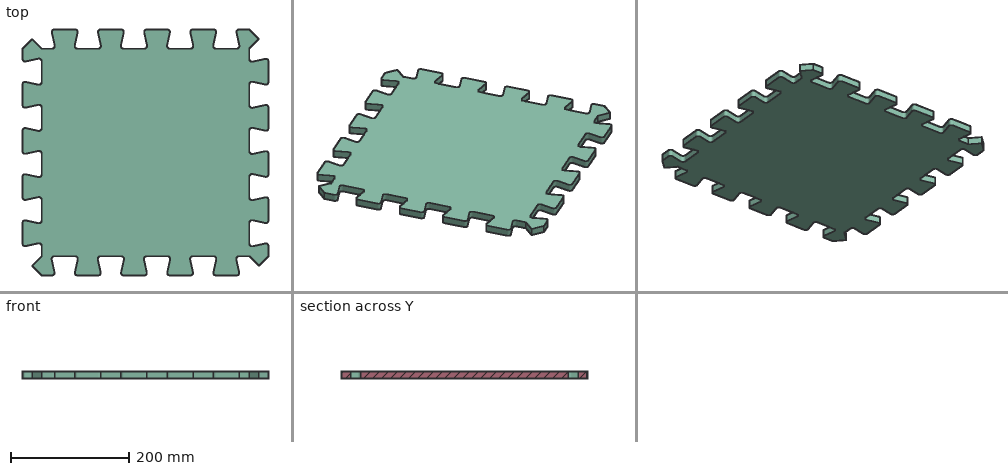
import cadquery as cq
import math

overall_size = 416.7
thickness = 12.5
tab_depth = 32.5
flank_angle = 12.5
corner_radius = 4.5
full_tabs = 4
side_count = 4

half_size = overall_size / 2
half_body = half_size - tab_depth
pitch = 2 * half_body / (full_tabs + 0.5)

flank_shift = tab_depth / 2 * math.tan(math.radians(flank_angle))
tip_half_width = pitch / 4 + flank_shift
root_half_width = pitch / 4 - flank_shift


def side_points():
    """Points along the +Y side from left to right, ending at the corner beak."""
    points = [(-half_body, half_body)]
    for index in range(full_tabs):
        center = -half_body + (index + 0.5) * pitch
        points += [
            (center - root_half_width, half_body),
            (center - tip_half_width, half_size),
            (center + tip_half_width, half_size),
            (center + root_half_width, half_body),
        ]

    beak_point = half_body + tab_depth / 2
    points += [
        (half_body - root_half_width, half_body),
        (half_body - tip_half_width, half_size),
        (half_body, half_size),
        (beak_point, beak_point),
    ]
    return points


def turn_clockwise(point):
    """Turn a point by 90 degrees clockwise about the tile center."""
    x, y = point
    return (y, -x)


def tile_outline():
    """Closed outline made of one side repeated by quarter turns."""
    outline = []
    side = side_points()
    for _ in range(side_count):
        outline += side
        side = [turn_clockwise(point) for point in side]
    return outline


def is_tab_edge(edge):
    """True for edges at tab tips and roots, false for the sharp corner beaks."""
    position = edge.Center()
    tolerance = 0.05
    return min(abs(position.x), abs(position.y)) < half_body - tolerance


tile = cq.Workplane("XY").polyline(tile_outline()).close().extrude(thickness)
result = tile.edges("|Z").filter(is_tab_edge).fillet(corner_radius)